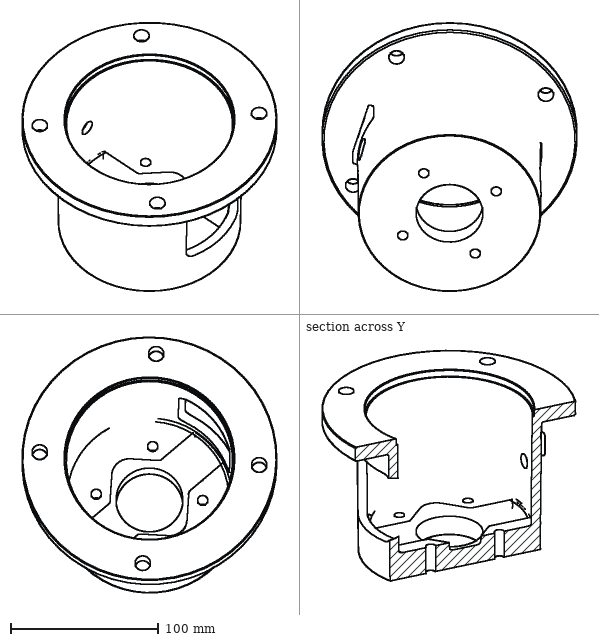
import cadquery as cq
import math

flange_radius = 86.5
total_height = 108.0
flange_thickness = 11.0
flange_top_chamfer = 0.5
flange_bottom_chamfer = 1.2
flange_bottom = total_height - flange_thickness

barrel_top_radius = 62.8
barrel_bottom_radius = 62.0
barrel_bottom_chamfer = 0.5
barrel_neck_fillet = 1.0

recess_radius = 57.5
recess_depth = 5.0
recess_chamfer = 0.5
cavity_top_radius = 56.4
cavity_floor_radius = 55.7
cavity_floor_fillet = 1.9
floor_height = 20.0

bore_radius = 22.7
channel_depth = 6.0
channel_half_width = 14.7
channel_draft = 5.0
channel_floor_fillet = 1.7
diamond_tip = 32.5
diamond_tip_radius = 12.0
diamond_root_radius = 2.6

flange_hole_spacing = 105.5
flange_hole_diameter = 10.4
floor_hole_spacing = 51.2
floor_hole_diameter = 7.0

window_half_width = 27.3
window_bottom = 28.7
window_top = 81.3
window_corner_radius = 5.5
window_draft = 5.0

plate_face = 62.8
plate_depth = 8.6
plate_width = 39.5
plate_bottom = 67.1
plate_top = 84.0
plate_corner_radius = 2.0
plate_edge_fillet = 1.0

port_height = 55.7
port_inner_radius = 5.0
port_outer_radius = 5.9
countersink_radius = 7.8
countersink_depth = countersink_radius - port_outer_radius


def make_housing():
    """Flanged cup, revolved about Z."""
    return (
        cq.Workplane("XZ")
        .moveTo(0, 0)
        .lineTo(barrel_bottom_radius - barrel_bottom_chamfer, 0)
        .lineTo(barrel_bottom_radius, barrel_bottom_chamfer)
        .lineTo(barrel_top_radius, flange_bottom - barrel_neck_fillet)
        .radiusArc((barrel_top_radius + barrel_neck_fillet, flange_bottom), barrel_neck_fillet)
        .lineTo(flange_radius - flange_bottom_chamfer, flange_bottom)
        .lineTo(flange_radius, flange_bottom + flange_bottom_chamfer)
        .lineTo(flange_radius, total_height - flange_top_chamfer)
        .lineTo(flange_radius - flange_top_chamfer, total_height)
        .lineTo(0, total_height)
        .close()
        .revolve(360, (0, 0, 0), (0, 1, 0))
    )


def make_cavity():
    """Drafted interior above the floor, with the stepped mouth."""
    recess_floor = total_height - recess_depth
    cavity = (
        cq.Workplane("XZ")
        .moveTo(0, floor_height)
        .lineTo(cavity_floor_radius, floor_height)
        .lineTo(cavity_top_radius, recess_floor)
        .lineTo(recess_radius, recess_floor)
        .lineTo(recess_radius, total_height - recess_chamfer)
        .lineTo(recess_radius + recess_chamfer, total_height)
        .lineTo(0, total_height)
        .close()
        .revolve(360, (0, 0, 0), (0, 1, 0))
    )
    return cavity.faces("<Z").edges().fillet(cavity_floor_fillet)


def make_channel():
    """Straight channel across the floor, merged with a rounded diamond at the bore."""
    tip_center = diamond_tip - diamond_tip_radius
    flank_reach = tip_center + diamond_tip_radius * math.sqrt(2)
    tangent_x = diamond_tip_radius * math.sqrt(0.5)
    tangent_y = tip_center + tangent_x
    root_x = flank_reach - channel_half_width
    end_x = flange_radius
    outline = (
        cq.Workplane("XY", origin=(0, 0, floor_height))
        .moveTo(-end_x, channel_half_width)
        .lineTo(-root_x, channel_half_width)
        .lineTo(-tangent_x, tangent_y)
        .threePointArc((0, diamond_tip), (tangent_x, tangent_y))
        .lineTo(root_x, channel_half_width)
        .lineTo(end_x, channel_half_width)
        .lineTo(end_x, -channel_half_width)
        .lineTo(root_x, -channel_half_width)
        .lineTo(tangent_x, -tangent_y)
        .threePointArc((0, -diamond_tip), (-tangent_x, -tangent_y))
        .lineTo(-root_x, -channel_half_width)
        .lineTo(-end_x, -channel_half_width)
        .close()
        .extrude(-channel_depth)
        .edges("|Z")
        .fillet(diamond_root_radius)
        .faces(">Z")
        .wires()
        .toPending()
    )
    channel = outline.extrude(-channel_depth, combine=False, taper=channel_draft)
    end_limit = cq.Workplane("XY").circle(cavity_floor_radius).extrude(floor_height)
    channel = channel.intersect(end_limit)
    return channel.faces("<Z").edges().fillet(channel_floor_fillet)


def square_holes(spacing, diameter):
    """Four vertical through holes on a square centred on the axis."""
    return (
        cq.Workplane("XY")
        .rect(spacing, spacing, forConstruction=True)
        .vertices()
        .circle(diameter / 2)
        .extrude(total_height)
    )


def make_window():
    """Rounded rectangular opening in the +X wall, narrowing toward the axis."""
    return (
        cq.Workplane("YZ", origin=(barrel_top_radius, 0, (window_bottom + window_top) / 2))
        .rect(2 * window_half_width, window_top - window_bottom)
        .extrude(-barrel_top_radius / 2, taper=window_draft)
        .edges("not #X")
        .fillet(window_corner_radius)
    )


def make_plate():
    """Flat pad with rounded edges, standing out of the -X wall."""
    return (
        cq.Workplane("YZ", origin=(-plate_face, 0, (plate_bottom + plate_top) / 2))
        .rect(plate_width, plate_top - plate_bottom)
        .extrude(plate_depth)
        .edges("|X")
        .fillet(plate_corner_radius)
        .faces("<X")
        .edges()
        .fillet(plate_edge_fillet)
    )


def make_port():
    """Tapered hole along X with a 45 degree countersink at the outer wall."""
    outer_x = -(barrel_top_radius + barrel_bottom_radius) / 2
    countersink_end = outer_x + countersink_depth
    inner_x = -cavity_floor_radius
    return (
        cq.Workplane("XY", origin=(0, 0, port_height))
        .moveTo(-barrel_top_radius, 0)
        .lineTo(-barrel_top_radius, countersink_radius)
        .lineTo(outer_x, countersink_radius)
        .lineTo(countersink_end, port_outer_radius)
        .lineTo(inner_x, port_inner_radius)
        .lineTo(0, port_inner_radius)
        .lineTo(0, 0)
        .close()
        .revolve(360, (0, 0, 0), (1, 0, 0))
    )


bore = cq.Workplane("XY").circle(bore_radius).extrude(total_height)

result = (
    make_housing()
    .union(make_plate())
    .cut(make_cavity())
    .cut(make_channel())
    .cut(bore)
    .cut(square_holes(flange_hole_spacing, flange_hole_diameter))
    .cut(square_holes(floor_hole_spacing, floor_hole_diameter))
    .cut(make_window())
    .cut(make_port())
)